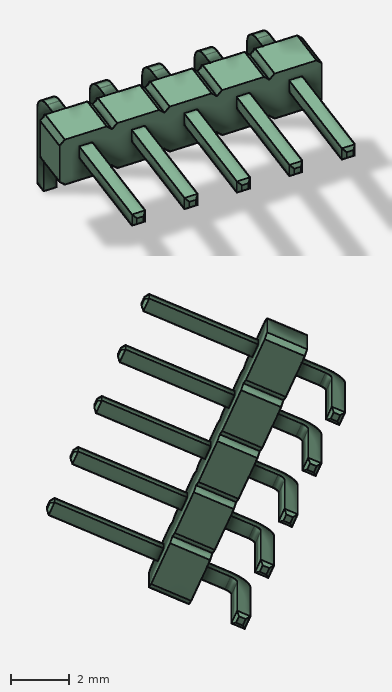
import cadquery as cq

pin_count = 5
pitch = 2.0

body_width = 1.5
body_height = 2.0
corner_chamfer = 0.2

pin_size = 0.5
bend_inner_radius = 0.25
bend_outer_radius = bend_inner_radius + pin_size
body_offset = 1.75
pin_length = 7.45
pin_top_depth = 0.5
leg_depth = 4.65
tip_length = pin_size / 4
tip_inset = pin_size / 4

row_length = pin_count * pitch
pin_top = -pin_top_depth
pin_axis_z = pin_top - pin_size / 2
leg_axis_x = pin_size / 2


def body_block(center_y):
    """One body segment: an octagonal Y-Z section extruded along X."""
    half_y = pitch / 2
    profile = [
        (-half_y + corner_chamfer, 0),
        (half_y - corner_chamfer, 0),
        (half_y, -corner_chamfer),
        (half_y, -body_height + corner_chamfer),
        (half_y - corner_chamfer, -body_height),
        (-half_y + corner_chamfer, -body_height),
        (-half_y, -body_height + corner_chamfer),
        (-half_y, -corner_chamfer),
    ]
    block = cq.Workplane("YZ").polyline(profile).close().extrude(body_width)
    return block.translate((body_offset, center_y, 0))


def tip(plane):
    """Tapered pin end that narrows along the normal of the plane."""
    end_size = pin_size - 2 * tip_inset
    return (
        cq.Workplane(plane)
        .rect(pin_size, pin_size)
        .workplane(offset=tip_length)
        .rect(end_size, end_size)
        .loft()
    )


def bent_pin(center_y):
    """Right-angle pin: vertical leg, round bend and horizontal shaft."""
    bend_z = pin_top - bend_outer_radius
    shaft_end = pin_length - tip_length
    leg_end = -leg_depth + tip_length
    shaft = (
        cq.Workplane("XZ")
        .moveTo(0, leg_end)
        .lineTo(0, bend_z)
        .radiusArc((bend_outer_radius, pin_top), bend_outer_radius)
        .lineTo(shaft_end, pin_top)
        .lineTo(shaft_end, pin_top - pin_size)
        .lineTo(bend_outer_radius, pin_top - pin_size)
        .radiusArc((pin_size, bend_z), -bend_inner_radius)
        .lineTo(pin_size, leg_end)
        .close()
        .extrude(pin_size / 2, both=True)
    )
    shaft_tip = tip(cq.Plane((shaft_end, 0, pin_axis_z), (0, 1, 0), (1, 0, 0)))
    leg_tip = tip(cq.Plane((leg_axis_x, 0, leg_end), (1, 0, 0), (0, 0, -1)))
    return shaft.union(shaft_tip).union(leg_tip).translate((0, center_y, 0))


result = cq.Workplane("XY")
for index in range(pin_count):
    row_y = (index + 0.5) * pitch - row_length / 2
    result = result.union(body_block(row_y)).union(bent_pin(row_y))